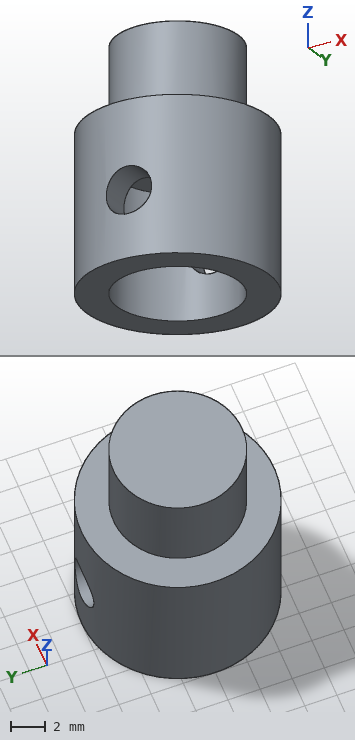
import cadquery as cq

total_height = 15.5
body_diameter = 12.0
body_height = 10.0

stub_diameter = 8.0
stub_height = total_height - body_height

bore_diameter = stub_diameter
wall_thickness = (body_diameter - bore_diameter) / 2
bore_depth = body_height - wall_thickness

hole_diameter = 3.0
hole_center_height = 4.3

body = cq.Workplane("XY").circle(body_diameter / 2).extrude(body_height)

stub = (
    cq.Workplane("XY")
    .workplane(offset=body_height)
    .circle(stub_diameter / 2)
    .extrude(stub_height)
)

bore = cq.Workplane("XY").circle(bore_diameter / 2).extrude(bore_depth)

cross_hole = (
    cq.Workplane("XZ")
    .center(0, hole_center_height)
    .circle(hole_diameter / 2)
    .extrude(body_diameter / 2, both=True)
)

result = body.union(stub).cut(bore).cut(cross_hole)